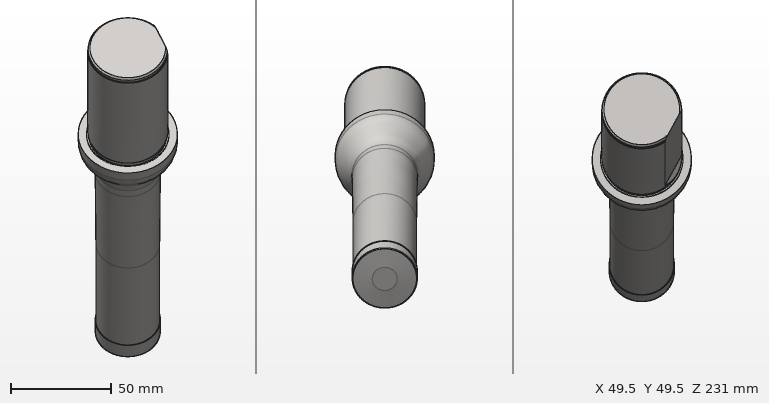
import cadquery as cq

TOTAL_LENGTH = 231.0
TIP_CONE_HEIGHT = 0.7
TIP_TOP = 10.5
TAPER_BOTTOM = 72.8
TAPER_TOP = 131.2
NECK_BOTTOM = 136.0
FLANGE_BOTTOM = 155.5
FLANGE_TOP = 161.2

FLANGE_DIAMETER = 49.5
SHANK_DIAMETER = 40.0
SHANK_END_DIAMETER = 39.5
FLANGE_GROOVE_DIAMETER = 41.1
TIP_DIAMETER = 32.5
TIP_FACE_DIAMETER = 12.5
NECK_DIAMETER = 32.5
STEM_DIAMETER = 31.9

TIP_CORNER_CHAMFER = 0.5

RELIEF_HEIGHT = 1.5
RELIEF_DEPTH = 0.5
RELIEF_CHAMFER = 0.5
FLANGE_GROOVE_DEPTH = 0.7
END_LAND_LENGTH = 3.0
END_STEP_HEIGHT = 0.5
END_CHAMFER = 1.0
FLAT_DISTANCE = 17.8
FLAT_BOTTOM = 166.3
FLAT_RUNOUT = 2.3


def make_turned_holder():
    """Revolve the stem, neck, flange and shank about Z."""
    stem_radius = STEM_DIAMETER / 2
    neck_radius = NECK_DIAMETER / 2
    flange_radius = FLANGE_DIAMETER / 2
    shank_radius = SHANK_DIAMETER / 2
    end_radius = SHANK_END_DIAMETER / 2
    relief_radius = shank_radius - RELIEF_DEPTH
    groove_radius = FLANGE_GROOVE_DIAMETER / 2
    groove_bottom = FLANGE_TOP - FLANGE_GROOVE_DEPTH
    relief_top = FLANGE_TOP + RELIEF_HEIGHT
    land_bottom = TOTAL_LENGTH - END_LAND_LENGTH

    return (
        cq.Workplane("XZ")
        .moveTo(0, TIP_TOP)
        .lineTo(stem_radius, TIP_TOP)
        .lineTo(stem_radius, TAPER_BOTTOM)
        .lineTo(neck_radius, TAPER_TOP)
        .lineTo(neck_radius, NECK_BOTTOM)
        .spline([(flange_radius, FLANGE_BOTTOM)], tangents=[(0, 1), (0, 1)], includeCurrent=True)
        .lineTo(flange_radius, FLANGE_TOP)
        .lineTo(groove_radius, FLANGE_TOP)
        .lineTo(groove_radius, groove_bottom)
        .lineTo(relief_radius, groove_bottom)
        .lineTo(relief_radius, relief_top)
        .lineTo(shank_radius, relief_top + RELIEF_CHAMFER)
        .lineTo(shank_radius, land_bottom)
        .lineTo(end_radius, land_bottom + END_STEP_HEIGHT)
        .lineTo(end_radius, TOTAL_LENGTH - END_CHAMFER)
        .lineTo(end_radius - END_CHAMFER, TOTAL_LENGTH)
        .lineTo(0, TOTAL_LENGTH)
        .close()
        .revolve(360, (0, 0), (0, 1))
    )


def make_shank_flat():
    """Material removed from the +Y side of the shank, with a sloped runout at its lower end."""
    outer = FLANGE_DIAMETER / 2
    runout_end = FLAT_DISTANCE + FLAT_RUNOUT
    return (
        cq.Workplane("YZ")
        .moveTo(FLAT_DISTANCE, TOTAL_LENGTH)
        .lineTo(FLAT_DISTANCE, FLAT_BOTTOM)
        .lineTo(runout_end, FLAT_BOTTOM - FLAT_RUNOUT)
        .lineTo(outer, FLAT_BOTTOM - FLAT_RUNOUT)
        .lineTo(outer, TOTAL_LENGTH)
        .close()
        .extrude(outer, both=True)
    )


def make_drill_tip():
    """Revolve the cutting end, a short cylinder with a shallow cone down to a small flat at Z = 0."""
    radius = TIP_DIAMETER / 2
    return (
        cq.Workplane("XZ")
        .lineTo(TIP_FACE_DIAMETER / 2, 0)
        .lineTo(radius - TIP_CORNER_CHAMFER, TIP_CONE_HEIGHT)
        .lineTo(radius, TIP_CONE_HEIGHT + TIP_CORNER_CHAMFER)
        .lineTo(radius, TIP_TOP)
        .lineTo(0, TIP_TOP)
        .close()
        .revolve(360, (0, 0), (0, 1))
    )


holder = make_turned_holder().cut(make_shank_flat())
drill_tip = make_drill_tip()

result = cq.Compound.makeCompound([holder.val(), drill_tip.val()])